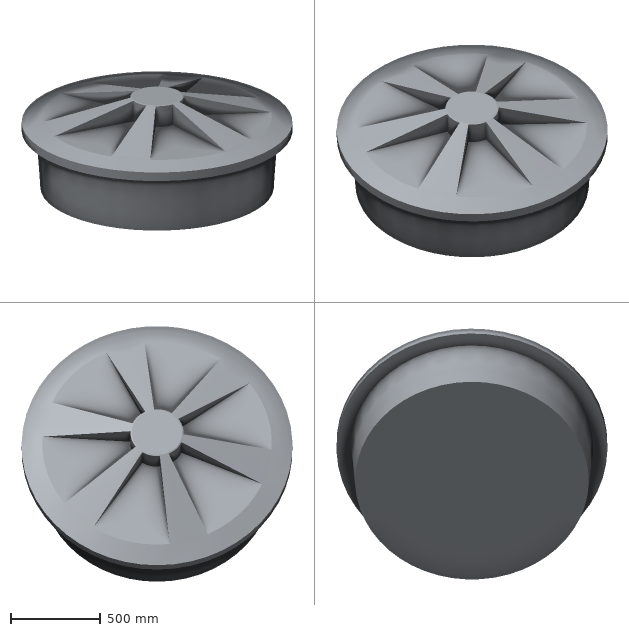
import cadquery as cq
import math

flange_radius = 760.0
plug_bottom_radius = 655.0
plug_top_radius = 681.0
plug_height = 342.0
flange_height = 52.0
total_height = 550.0
hub_radius = 149.0
cap_radius = 141.0
pocket_floor_radius = 645.0
pocket_count = 6
pocket_angle = 40.0

flange_top = plug_height + flange_height
cone_slope = (total_height - flange_top) / (flange_radius - cap_radius)
pocket_floor = flange_top + cone_slope * (flange_radius - pocket_floor_radius)


def lid_body():
    """Tapered plug, flange and shallow cone revolved about the Z axis."""
    return (
        cq.Workplane("XZ")
        .polyline([
            (0, 0),
            (plug_bottom_radius, 0),
            (plug_top_radius, plug_height),
            (flange_radius, plug_height),
            (flange_radius, flange_top),
            (cap_radius, total_height),
            (0, total_height),
        ])
        .close()
        .revolve(360, (0, 0, 0), (0, 1, 0))
    )


def pocket_cutter(center_angle):
    """Sector between two radial ribs, from the hub wall out past the cone."""
    def point(radius, offset):
        angle = math.radians(center_angle + offset)
        return (radius * math.cos(angle), radius * math.sin(angle))

    half_angle = pocket_angle / 2
    return (
        cq.Workplane("XY")
        .workplane(offset=pocket_floor)
        .moveTo(*point(hub_radius, -half_angle))
        .lineTo(*point(flange_radius, -half_angle))
        .threePointArc(point(flange_radius, 0), point(flange_radius, half_angle))
        .lineTo(*point(hub_radius, half_angle))
        .threePointArc(point(hub_radius, 0), point(hub_radius, -half_angle))
        .close()
        .extrude(total_height - pocket_floor)
    )


result = lid_body()
for index in range(pocket_count):
    result = result.cut(pocket_cutter(index * 360 / pocket_count))